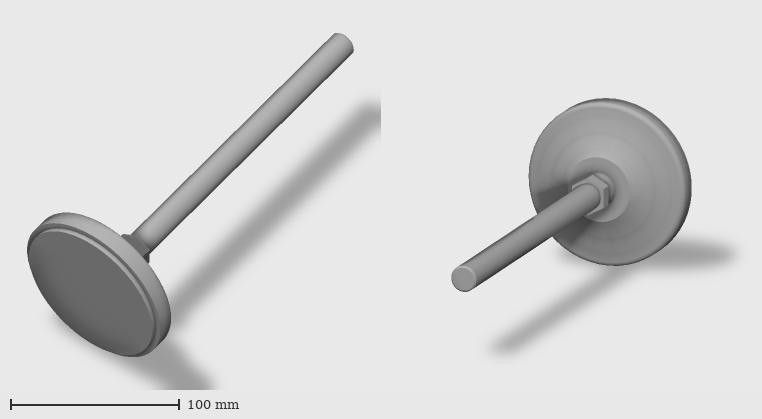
import cadquery as cq
import math


pad_radius = 92.5 / 2
pad_thickness = 3.0

base_radius = 100.0 / 2
rim_top_y = 12.4
shoulder_round = 3.1
flank_foot_angle = math.radians(3.5)
base_top_radius = 19.75
base_top_y = 26.5

ball_radius = 11.0
neck_radius = 11.0 / 2
neck_bottom_y = 33.0
ball_centre_y = neck_bottom_y - math.sqrt(ball_radius**2 - neck_radius**2)

overall_length = 244.0
spindle_radius = 16.0 / 2
spindle_length = 200.0
spindle_chamfer = 1.0
hex_sides = 6
hex_across_flats = 20.0
hex_thickness = 8.0
hex_top_y = overall_length - spindle_length
hex_bottom_y = hex_top_y - hex_thickness


def cylinder(radius, start_y, end_y):
    """Cylinder on the Y axis between two heights."""
    axis_plane = cq.Workplane("XZ", origin=(0, start_y, 0))
    return axis_plane.circle(radius).extrude(start_y - end_y)


def make_base():
    """Round base with a straight rim, rounded shoulder and concave flank."""
    round_centre_radius = base_radius - shoulder_round
    shoulder_radius = round_centre_radius + shoulder_round * math.sin(flank_foot_angle)
    shoulder_y = rim_top_y + shoulder_round * math.cos(flank_foot_angle)
    profile = (
        cq.Workplane("XY")
        .moveTo(0, pad_thickness)
        .lineTo(base_radius, pad_thickness)
        .lineTo(base_radius, rim_top_y)
        .tangentArcPoint((shoulder_radius, shoulder_y), relative=False)
        .tangentArcPoint((base_top_radius, base_top_y), relative=False)
        .lineTo(0, base_top_y)
        .close()
    )
    return profile.revolve(360, (0, 0, 0), (0, 1, 0))


def make_ball():
    """Ball seated in the base, its lower part buried in it."""
    ball = cq.Workplane("XY").sphere(ball_radius, direct=(0, 1, 0))
    return ball.translate((0, ball_centre_y, 0))


def make_hexagon():
    """Wrench hexagon with two flats facing +X and -X."""
    across_corners = hex_across_flats / math.cos(math.pi / hex_sides)
    hexagon = cq.Workplane("XZ", origin=(0, hex_bottom_y, 0))
    hexagon = hexagon.polygon(hex_sides, across_corners).extrude(-hex_thickness)
    return hexagon.rotate((0, 0, 0), (0, 1, 0), 180 / hex_sides)


def make_spindle():
    """Plain spindle above the hexagon, chamfered at its free end."""
    spindle = cylinder(spindle_radius, hex_top_y, overall_length)
    return spindle.faces(">Y").chamfer(spindle_chamfer)


pad = cylinder(pad_radius, 0, pad_thickness)
neck = cylinder(neck_radius, ball_centre_y, hex_bottom_y)

result = (
    make_base()
    .union(pad)
    .union(make_ball())
    .union(neck)
    .union(make_hexagon())
    .union(make_spindle())
)